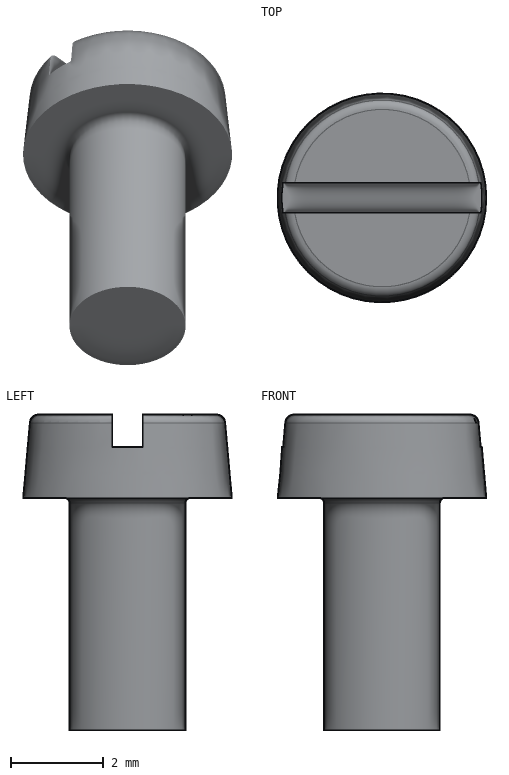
import cadquery as cq
import math

shank_diameter = 2.5
shank_length = 5.0

head_diameter = 4.5
head_height = 1.8
head_draft = math.radians(5)
head_edge_radius = 0.2

neck_fillet_radius = 0.1

slot_width = 0.65
slot_depth = 0.7


def make_head():
    """Tapered head with a rounded upper edge."""
    bottom_radius = head_diameter / 2
    top_radius = bottom_radius - head_height * math.tan(head_draft)
    profile = (
        cq.Workplane("XZ")
        .lineTo(bottom_radius, 0)
        .lineTo(top_radius, head_height)
        .lineTo(0, head_height)
        .close()
    )
    head = profile.revolve(360, (0, 0), (0, 1))
    return head.faces(">Z").edges().fillet(head_edge_radius)


def make_shank():
    """Plain shank that flares out through the neck fillet into the head."""
    shank_radius = shank_diameter / 2
    flare_radius = shank_radius + neck_fillet_radius
    arc_reach = neck_fillet_radius * (1 - math.sqrt(0.5))
    profile = (
        cq.Workplane("XZ")
        .lineTo(flare_radius, 0)
        .threePointArc(
            (shank_radius + arc_reach, -arc_reach),
            (shank_radius, -neck_fillet_radius),
        )
        .lineTo(shank_radius, -shank_length)
        .lineTo(0, -shank_length)
        .close()
    )
    return profile.revolve(360, (0, 0), (0, 1))


def make_slot():
    """Screwdriver slot running along X across the whole head."""
    return (
        cq.Workplane("XY", origin=(0, 0, head_height - slot_depth))
        .rect(head_diameter, slot_width)
        .extrude(slot_depth)
    )


result = make_head().union(make_shank()).cut(make_slot())